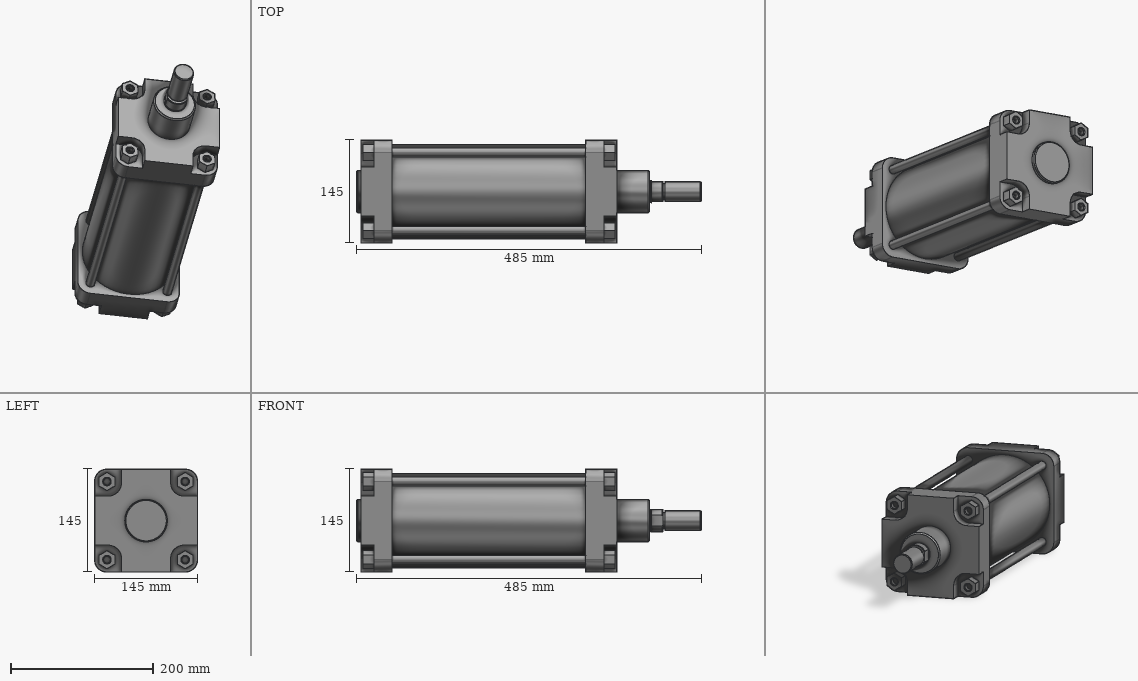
import cadquery as cq


cover_side = 145.0
cover_length = 44.0
cover_corner_radius = 17.5
pocket_size = 38.0
pocket_corner_radius = 19.0
pocket_depth = 18.0

rear_boss_length = 6.0
covers_overall = 360.0
front_boss_length = 46.0
rear_cover_start = rear_boss_length
barrel_start = rear_cover_start + cover_length
front_cover_end = rear_cover_start + covers_overall
front_cover_start = front_cover_end - cover_length
front_boss_end = front_cover_end + front_boss_length

boss_diameter = 60.0
rear_boss_chamfer = 1.5
front_boss_chamfer = 2.0

barrel_diameter = 133.0

tie_rod_spacing = 110.0
tie_rod_diameter = 12.5
hex_across_flats = 22.0
hex_height = 15.5
socket_diameter = 9.5
socket_mouth_diameter = 12.0
socket_depth = 10.0

overall_length = 485.0
rod_diameter = 31.0
shoulder_diameter = 32.0
flats_across = 28.0
shoulder_start = front_boss_end + 1.5
shoulder_end = 431.0
shoulder_chamfer_length = 1.5
shoulder_chamfer_height = (shoulder_diameter - rod_diameter) / 2
flats_start = shoulder_start + shoulder_chamfer_length
neck_diameter = 23.0
neck_length = 3.0
thread_diameter = 28.0
thread_chamfer_length = 2.0
thread_chamfer_height = 1.0

CORNERS = [(y, z) for y in (-1, 1) for z in (-1, 1)]
HEX_CORNER_FACTOR = 2.0 / 3.0 ** 0.5


def rod_along_x(start, end, diameter, y=0.0, z=0.0):
    """Plain round bar between two X positions."""
    plane = cq.Workplane("YZ", origin=(start, y, z))
    return plane.circle(diameter / 2).extrude(end - start)


def hexagon_along_x(start, end, y, z):
    """Hexagonal bar with two corners pointing along Z."""
    plane = cq.Workplane("YZ", origin=(start, y, z)).transformed(rotate=(0, 0, 90))
    return plane.polygon(6, hex_across_flats * HEX_CORNER_FACTOR).extrude(end - start)


def cover(start, pocket_start):
    """Cover block with corner pockets cut from one end and holes for the tie rods."""
    block = (
        cq.Workplane("YZ", origin=(start, 0, 0))
        .rect(cover_side, cover_side)
        .extrude(cover_length)
        .edges("|X")
        .fillet(cover_corner_radius)
    )
    pockets = (
        cq.Workplane("YZ", origin=(pocket_start, 0, 0))
        .rect(cover_side, cover_side, forConstruction=True)
        .vertices()
        .rect(2 * pocket_size, 2 * pocket_size)
        .extrude(pocket_depth)
        .edges("|X")
        .fillet(pocket_corner_radius)
    )
    block = block.cut(pockets)
    for side_y, side_z in CORNERS:
        hole_y = side_y * tie_rod_spacing / 2
        hole_z = side_z * tie_rod_spacing / 2
        block = block.cut(rod_along_x(start, start + cover_length, tie_rod_diameter, hole_y, hole_z))
    return block


def make_rear_cover():
    boss = rod_along_x(0, rear_cover_start, boss_diameter).faces("<X").chamfer(rear_boss_chamfer)
    return cover(rear_cover_start, rear_cover_start).union(boss)


def make_front_cover():
    boss = rod_along_x(front_cover_end, front_boss_end, boss_diameter)
    boss = boss.faces(">X").edges().chamfer(front_boss_chamfer)
    bore = rod_along_x(front_cover_start, front_boss_end, rod_diameter)
    return cover(front_cover_start, front_cover_end - pocket_depth).union(boss).cut(bore)


def make_barrel():
    return rod_along_x(barrel_start, front_cover_start, barrel_diameter)


def make_piston_rod():
    """Revolved rod with a relieved neck before the thread and two wrench flats facing -Y and +Y."""
    neck_end = shoulder_end + neck_length
    rod_radius = rod_diameter / 2
    shoulder_radius = shoulder_diameter / 2
    neck_radius = neck_diameter / 2
    thread_radius = thread_diameter / 2
    rod = (
        cq.Workplane("XY")
        .moveTo(front_cover_start, 0)
        .lineTo(front_cover_start, rod_radius)
        .lineTo(shoulder_start, rod_radius)
        .lineTo(flats_start, shoulder_radius)
        .lineTo(shoulder_end - shoulder_chamfer_length, shoulder_radius)
        .lineTo(shoulder_end, shoulder_radius - shoulder_chamfer_height)
        .lineTo(shoulder_end, neck_radius)
        .lineTo(neck_end, neck_radius)
        .lineTo(neck_end, thread_radius)
        .lineTo(overall_length - thread_chamfer_length, thread_radius)
        .lineTo(overall_length, thread_radius - thread_chamfer_height)
        .lineTo(overall_length, 0)
        .close()
        .revolve(360, (0, 0, 0), (1, 0, 0))
    )
    flats_length = shoulder_end - flats_start
    flats_middle = flats_start + flats_length / 2
    for side in (-1, 1):
        cutter = cq.Workplane("XY").box(flats_length, shoulder_diameter, shoulder_diameter)
        rod = rod.cut(cutter.translate((flats_middle, side * (flats_across + shoulder_diameter) / 2, 0)))
    return rod


def make_tie_rod(y, z):
    """Tie rod with a hexagon at both ends, each hexagon having a countersunk blind hole."""
    rear_seat = rear_cover_start + pocket_depth
    front_seat = front_cover_end - pocket_depth
    rear_end = rear_seat - hex_height
    front_end = front_seat + hex_height
    tie = rod_along_x(rear_seat, front_seat, tie_rod_diameter, y, z)
    tie = tie.union(hexagon_along_x(rear_end, rear_seat, y, z))
    tie = tie.union(hexagon_along_x(front_seat, front_end, y, z))
    tie = tie.cut(rod_along_x(rear_end, rear_end + socket_depth, socket_diameter, y, z))
    tie = tie.cut(rod_along_x(front_end - socket_depth, front_end, socket_diameter, y, z))
    mouth_chamfer = (socket_mouth_diameter - socket_diameter) / 2
    for end in ("<X", ">X"):
        tie = tie.faces(end).edges("%CIRCLE").chamfer(mouth_chamfer)
    return tie


rear_cover = make_rear_cover()
front_cover = make_front_cover()
barrel = make_barrel()
piston_rod = make_piston_rod()
tie_rods = [
    make_tie_rod(side_y * tie_rod_spacing / 2, side_z * tie_rod_spacing / 2).val()
    for side_y, side_z in CORNERS
]

result = cq.Compound.makeCompound(
    [rear_cover.val(), front_cover.val(), barrel.val(), piston_rod.val(), *tie_rods]
)